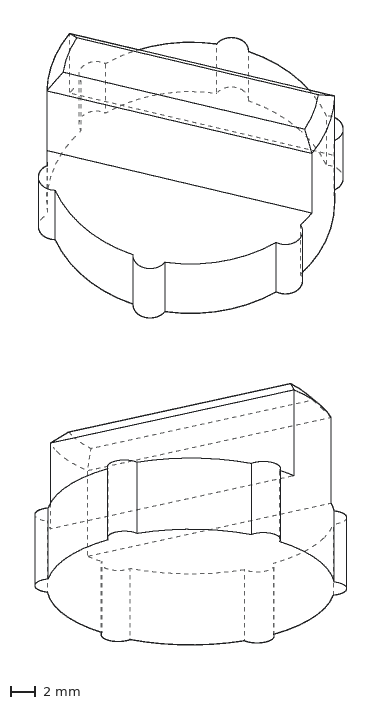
import cadquery as cq

overall_width = 25.45
disc_diameter = 23.5
total_height = 15.25
base_height = 6.34
bar_thickness = 6.35
bar_chamfer = 1.27
bump_radius = 1.4
bump_count = 6

bump_circle_radius = overall_width / 2 - bump_radius


def knob_base():
    """Round disc with grip bumps spaced evenly around its rim, one pair on the Y axis."""
    disc = cq.Workplane("XY").circle(disc_diameter / 2).extrude(base_height)
    bumps = (
        cq.Workplane("XY")
        .polarArray(bump_circle_radius, 90, 360, bump_count)
        .circle(bump_radius)
        .extrude(base_height)
    )
    return disc.union(bumps)


def grip_bar():
    """Bar along X whose rounded ends follow the disc rim, chamfered around its top."""
    cylinder = cq.Workplane("XY").circle(disc_diameter / 2).extrude(total_height)
    slab = cq.Workplane("XY").box(
        disc_diameter, bar_thickness, total_height, centered=(True, True, False)
    )
    return cylinder.intersect(slab).faces(">Z").edges().chamfer(bar_chamfer)


result = knob_base().union(grip_bar())